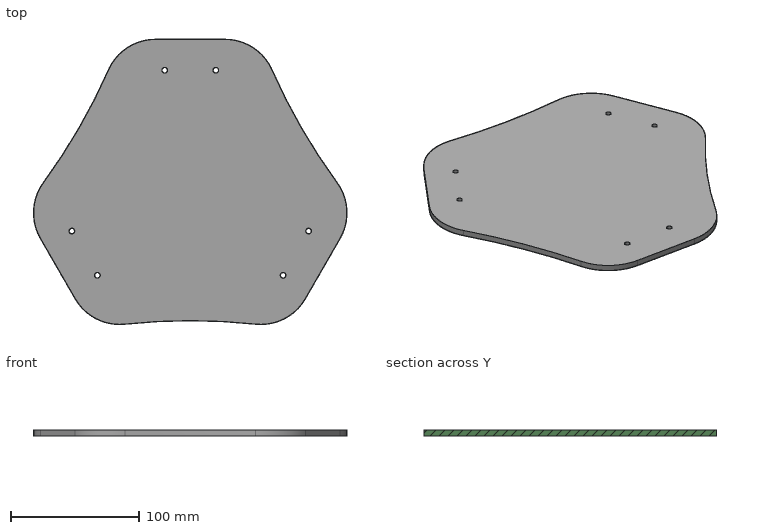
import cadquery as cq
import math

thickness = 5.0
flat_distance = 119.3
flat_half_length = 27.1
corner_radius = 40.0
waist_distance = 100.2
hole_distance = 95.0
hole_spacing = 39.8
hole_diameter = 4.2
lobe_count = 3
lobe_angle = 360 / lobe_count


def turned(point, degrees):
    """Turn a point counterclockwise about the plate centre."""
    angle = math.radians(degrees)
    x, y = point
    return (
        x * math.cos(angle) - y * math.sin(angle),
        x * math.sin(angle) + y * math.cos(angle),
    )


corner_center = (-flat_half_length, flat_distance - corner_radius)

corner_across, corner_out = turned(corner_center, -lobe_angle / 2)

center_gap = waist_distance - corner_out
hollow_radius = (corner_across**2 + center_gap**2 - corner_radius**2) / (
    2 * (corner_radius - center_gap)
)
hollow_center_out = waist_distance + hollow_radius

blend = corner_radius / (corner_radius + hollow_radius)
tangent_point = turned(
    (corner_across * (1 - blend), corner_out + (hollow_center_out - corner_out) * blend),
    lobe_angle / 2,
)

tangent_angle = math.degrees(
    math.atan2(tangent_point[1] - corner_center[1], tangent_point[0] - corner_center[0])
)
corner_offset = turned((corner_radius, 0), (90 + tangent_angle) / 2)
corner_middle = (corner_center[0] + corner_offset[0], corner_center[1] + corner_offset[1])

flat_left = (-flat_half_length, flat_distance)
flat_right = (flat_half_length, flat_distance)
hollow_middle = turned((0, waist_distance), lobe_angle / 2)


def mirrored(point):
    """Mirror a point across the Y axis."""
    return (-point[0], point[1])


def make_plate():
    """Three identical lobes, each: straight edge, corner, hollow, next corner."""
    outline = cq.Workplane("XY").moveTo(*flat_right)
    for lobe in range(lobe_count):
        turn = lobe * lobe_angle
        next_turn = turn + lobe_angle
        outline = (
            outline.lineTo(*turned(flat_left, turn))
            .threePointArc(turned(corner_middle, turn), turned(tangent_point, turn))
            .threePointArc(turned(hollow_middle, turn), turned(mirrored(tangent_point), next_turn))
            .threePointArc(turned(mirrored(corner_middle), next_turn), turned(flat_right, next_turn))
        )
    return outline.close().extrude(thickness)


def hole_points():
    """A pair of holes beside each straight edge."""
    return [
        turned((side * hole_spacing / 2, hole_distance), lobe * lobe_angle)
        for lobe in range(lobe_count)
        for side in (-1, 1)
    ]


def make_holes():
    return cq.Workplane("XY").pushPoints(hole_points()).circle(hole_diameter / 2).extrude(thickness)


result = make_plate().cut(make_holes())